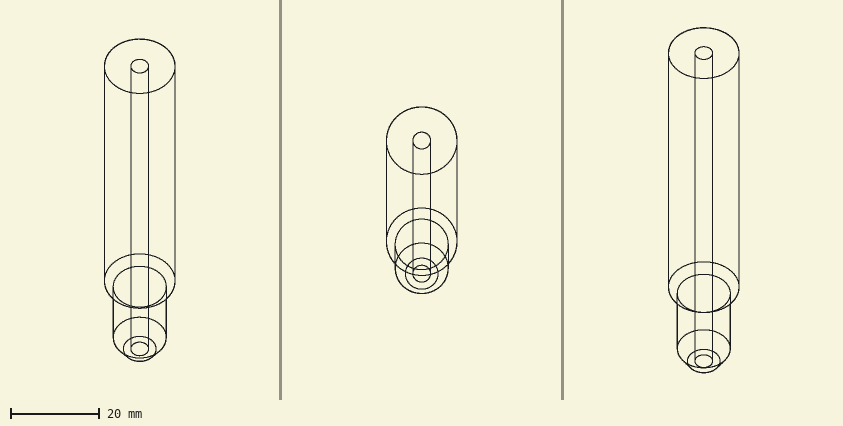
import cadquery as cq
import math

total_length = 100.0
body_diameter = 16.0
pin_diameter = 12.0
bore_diameter = 4.0
pin_length = 22.0
tip_length = 4.0
tip_half_angle = 30.0

tip_diameter = pin_diameter - 2 * tip_length * math.tan(math.radians(tip_half_angle))
shoulder_length = (body_diameter - pin_diameter) / 2

tip_z = -total_length / 2
pin_z = tip_z + tip_length
shoulder_z = tip_z + pin_length
body_z = shoulder_z + shoulder_length
top_z = tip_z + total_length


def make_pin_blank():
    """Half profile (radius, height) revolved about Z."""
    profile = [
        (0, tip_z),
        (tip_diameter / 2, tip_z),
        (pin_diameter / 2, pin_z),
        (pin_diameter / 2, shoulder_z),
        (body_diameter / 2, body_z),
        (body_diameter / 2, top_z),
        (0, top_z),
    ]
    return cq.Workplane("XZ").polyline(profile).close().revolve(360, (0, 0), (0, 1))


def make_bore():
    """Straight bore along the full length."""
    return cq.Workplane("XY", origin=(0, 0, tip_z)).circle(bore_diameter / 2).extrude(total_length)


result = make_pin_blank().cut(make_bore())